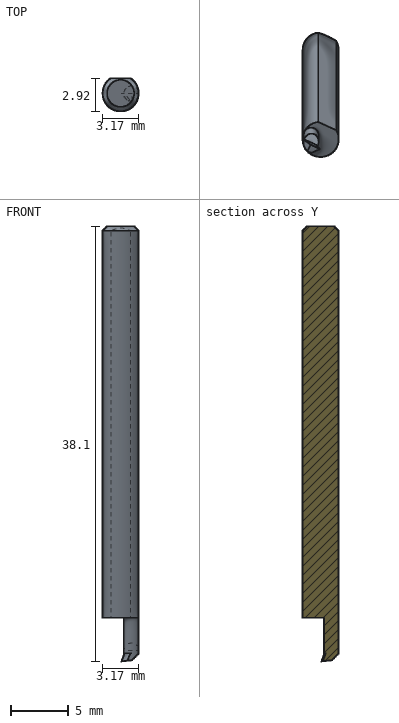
import cadquery as cq


total_length = 38.1
neck_length = 3.81
shank_length = total_length - neck_length

shank_diameter = 3.175
shank_radius = shank_diameter / 2
flat_to_back = 2.92
flat_y = flat_to_back - shank_radius
top_chamfer = 0.4

neck_radius = 0.66
neck_x = shank_radius - neck_radius
rake_bevel_start = 2.18

tip_height = 0.72
tip_top_z = tip_height - neck_length
tip_point_x = 0.07
flank_lean = 0.26
flank_relief = 0.53
end_relief = 0.09
end_z = end_relief - neck_length
heel_chamfer = 0.62


def make_shank():
    """Round bar with a chamfered upper end and one full-length flat."""
    bar = cq.Workplane("XY").circle(shank_radius).extrude(shank_length)
    bar = bar.faces(">Z").chamfer(top_chamfer)
    flat_cutter = (
        cq.Workplane("XY")
        .box(shank_diameter, shank_diameter, shank_length, centered=(True, False, False))
        .translate((0, flat_y, 0))
    )
    return bar.cut(flat_cutter)


def make_neck():
    """Offset pin cut back to the rake plane, with room for the tip and a heel chamfer."""
    pin = cq.Workplane("XY").center(neck_x, 0).circle(neck_radius).extrude(end_z)

    rake_cutter = (
        cq.Workplane("YZ")
        .moveTo(neck_radius, -rake_bevel_start)
        .lineTo(0, -rake_bevel_start - neck_radius)
        .lineTo(0, -neck_length)
        .lineTo(neck_radius, -neck_length)
        .close()
        .extrude(shank_diameter)
    )
    tip_space = (
        cq.Workplane("XY")
        .box(neck_radius, 2 * neck_radius, tip_height, centered=(False, True, False))
        .translate((neck_x - neck_radius, 0, -neck_length))
    )
    heel_cutter = (
        cq.Workplane("XZ")
        .moveTo(shank_radius, end_z)
        .lineTo(shank_radius, end_z + heel_chamfer)
        .lineTo(shank_radius - heel_chamfer, end_z)
        .close()
        .extrude(neck_radius, both=True)
    )
    return pin.cut(rake_cutter).cut(tip_space).cut(heel_cutter)


def make_tip():
    """Cutting tip narrowing from the rake plane toward its back."""
    rake_outline = [
        (neck_x, tip_top_z),
        (tip_point_x + flank_lean, tip_top_z),
        (tip_point_x, -neck_length),
        (neck_x, end_z),
    ]
    back_outline = [
        (neck_x, tip_top_z),
        (tip_point_x + flank_lean + flank_relief, tip_top_z),
        (tip_point_x + flank_relief, end_z),
        (neck_x, end_z),
    ]
    return (
        cq.Workplane("XZ")
        .polyline(rake_outline)
        .close()
        .workplane(offset=neck_radius)
        .polyline(back_outline)
        .close()
        .loft(ruled=True)
    )


result = make_shank().union(make_neck()).union(make_tip())